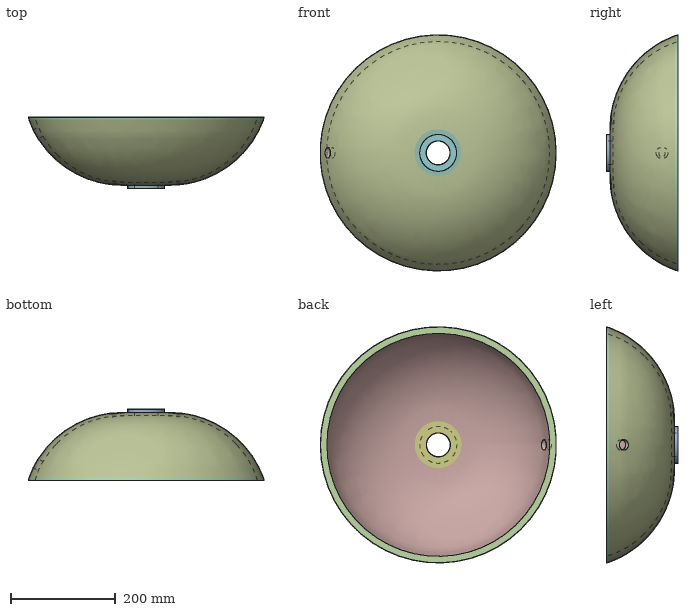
import cadquery as cq
import math

rim_radius = 225.0
rim_band = 5.5
band_radius = 223.5
total_depth = 136.5
boss_height = 6.5
boss_radius = 35.0
drain_radius = 22.5
flat_radius = 44.5
floor_thickness = 6.0
rim_width = 12.5
overflow_radius = 10.0
overflow_depth = 33.5

bowl_depth = total_depth - boss_height

outer_end = (band_radius, -rim_band)
inner_end = (rim_radius - rim_width, 0)
floor_y = floor_thickness - bowl_depth


def tangent_arc(bottom_y, end):
    """Radius and center height of the arc leaving the flat bottom tangentially and reaching end."""
    run = end[0] - flat_radius
    rise = end[1] - bottom_y
    radius = (run**2 + rise**2) / (2 * rise)
    return radius, bottom_y + radius


def arc_middle(bottom_y, end):
    """Point halfway along the tangent arc."""
    radius, center_y = tangent_arc(bottom_y, end)
    end_angle = math.atan2(end[1] - center_y, end[0] - flat_radius)
    angle = (end_angle - math.pi / 2) / 2
    return flat_radius + radius * math.cos(angle), center_y + radius * math.sin(angle)


def make_bowl():
    profile = (
        cq.Workplane("XY")
        .moveTo(0, -bowl_depth)
        .lineTo(flat_radius, -bowl_depth)
        .threePointArc(arc_middle(-bowl_depth, outer_end), outer_end)
        .lineTo(rim_radius, 0)
        .lineTo(*inner_end)
        .threePointArc(arc_middle(floor_y, inner_end), (flat_radius, floor_y))
        .lineTo(0, floor_y)
        .close()
    )
    return profile.revolve(360, (0, 0, 0), (0, 1, 0))


def y_cylinder(radius, start_y, length):
    return cq.Workplane("XZ", origin=(0, start_y, 0)).circle(radius).extrude(-length)


def make_overflow_hole():
    """Cutter through the -X wall, perpendicular to the bowl surface."""
    arc_radius, center_y = tangent_arc(-bowl_depth, outer_end)
    drop = -overflow_depth - center_y
    reach = math.sqrt(arc_radius**2 - drop**2)
    surface_point = cq.Vector(-flat_radius - reach, -overflow_depth, 0)
    outward = cq.Vector(-reach, drop, 0).normalized()
    start = surface_point + outward * rim_width
    return cq.Workplane(cq.Solid.makeCylinder(overflow_radius, 3 * rim_width, start, -outward))


boss = y_cylinder(boss_radius, -total_depth, boss_height + floor_thickness / 2)
drain = y_cylinder(drain_radius, -total_depth, total_depth)

result = make_bowl().union(boss).cut(drain).cut(make_overflow_hole())